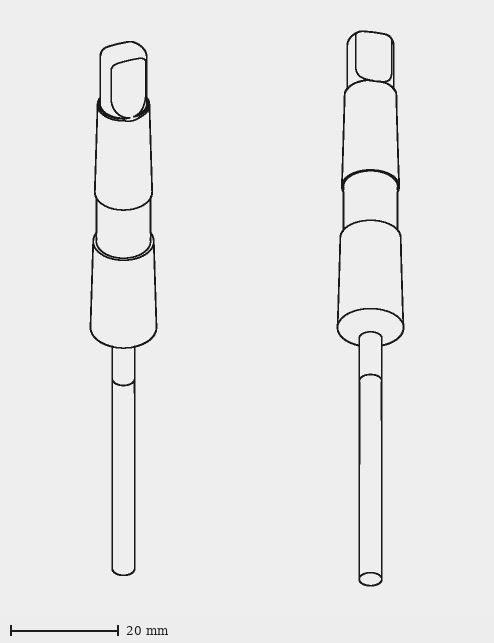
import cadquery as cq
import math


total_length = 124.0
drill_diameter = 4.2
point_angle = 118.0
back_taper = 0.02

drill_radius = drill_diameter / 2
point_height = drill_radius / math.tan(math.radians(point_angle / 2))
lead_top_z = 16.9
drill_top_z = 46.3

taper_large_radius = 12.3 / 2
taper_ratio = 20.0
neck_top_z = 55.9
taper_bottom_z = neck_top_z + (taper_large_radius - drill_radius) / math.tan(math.radians(point_angle / 2))
taper_top_z = 111.4

relief_radius = 10.0 / 2
relief_bottom_z = 78.7
relief_top_z = 90.4

tang_radius = 4.3
tang_thickness = 5.3
flat_bottom_z = 115.3
run_out_radius = 5.6
tang_edge_round = 1.2
tang_crown_height = 0.5
shoulder_chamfer = 0.2


def taper_radius(z):
    return taper_large_radius - (z - taper_bottom_z) / (2 * taper_ratio)


def make_drill():
    """Pointed cutting part: a cylindrical lead length, then a slight back taper."""
    profile = (
        cq.Workplane("XZ")
        .lineTo(drill_radius, point_height)
        .lineTo(drill_radius, lead_top_z)
        .lineTo(drill_radius - back_taper, drill_top_z)
        .lineTo(0, drill_top_z)
        .close()
    )
    return profile.revolve(360, (0, 0, 0), (0, 1, 0))


def make_shank_blank():
    """Neck, relieved taper and the round tang before its flats are cut."""
    crown_radius = tang_radius - tang_edge_round
    crown_edge_z = total_length - tang_crown_height
    round_middle = tang_edge_round * math.sqrt(0.5)
    round_bottom_z = crown_edge_z - tang_edge_round
    shoulder_z = taper_top_z - shoulder_chamfer
    profile = (
        cq.Workplane("XZ")
        .moveTo(0, drill_top_z)
        .lineTo(drill_radius, drill_top_z)
        .lineTo(drill_radius, neck_top_z)
        .lineTo(taper_large_radius, taper_bottom_z)
        .lineTo(taper_radius(relief_bottom_z), relief_bottom_z)
        .lineTo(relief_radius, relief_bottom_z)
        .lineTo(relief_radius, relief_top_z)
        .lineTo(taper_radius(relief_top_z), relief_top_z)
        .lineTo(taper_radius(shoulder_z), shoulder_z)
        .lineTo(taper_radius(shoulder_z) - shoulder_chamfer, taper_top_z)
        .lineTo(tang_radius, taper_top_z)
        .lineTo(tang_radius, round_bottom_z)
        .threePointArc(
            (crown_radius + round_middle, round_bottom_z + round_middle),
            (crown_radius, crown_edge_z),
        )
        .lineTo(0, total_length)
        .close()
    )
    return profile.revolve(360, (0, 0, 0), (0, 1, 0))


def make_flat_cutter():
    """Cutter for the +X flat, running out sideways along an arc at its lower end."""
    flat_x = tang_thickness / 2
    arc_middle = run_out_radius * math.sqrt(0.5)
    arc_center_x = flat_x + run_out_radius
    profile = (
        cq.Workplane("XZ")
        .moveTo(flat_x, total_length)
        .lineTo(flat_x, flat_bottom_z)
        .threePointArc(
            (arc_center_x - arc_middle, flat_bottom_z - arc_middle),
            (arc_center_x, flat_bottom_z - run_out_radius),
        )
        .lineTo(arc_center_x, total_length)
        .close()
    )
    return profile.extrude(tang_radius, both=True)


def make_shank():
    shank = make_shank_blank()
    for angle in (0, 180):
        shank = shank.cut(make_flat_cutter().rotate((0, 0, 0), (0, 0, 1), angle), clean=False)
    return shank


drill = make_drill()
shank = make_shank()
result = cq.Compound.makeCompound([drill.val(), shank.val()])